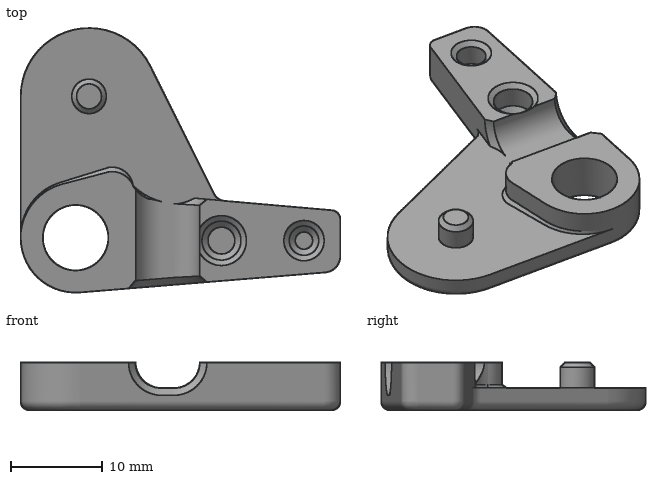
import cadquery as cq
import math

total_length = 35.1
plate_height = 2.45
total_height = 5.25
bottom_fillet = 1.0

boss_radius = 6.05
pivot_hole_radius = 3.58
lobe_radius = 7.5
lobe_x = lobe_radius - boss_radius
lobe_y = 15.5
lobe_edge_angle = 26.5

arm_end_x = total_length - boss_radius
arm_end_top = 2.95
arm_end_bottom = -3.7
arm_top_slope = -0.087
arm_top_corner = 1.05
arm_bottom_corner = 1.83
lobe_arm_fillet = 1.4

shoulder_line_start = (-1.55, 5.85)
shoulder_line_end = (3.65, 7.23)
shoulder_tip = (5.37, 6.85)
shoulder_inflection = (6.32, 5.7)
shoulder_hollow = (7.48, 4.53)
shoulder_foot = (9.4, 3.95)
flare_height = 0.35
flare_width = 0.5

channel_x = 10.1
channel_flat = 1.4
channel_radius = total_height - plate_height
channel_chamfer = 0.8

pin_radius = 1.9
pin_chamfer = 0.53
hole_y = -0.3
hole_floor = 1.75
floor_bevel = 0.65
countersink_width = 0.6
countersink_depth = 0.45
big_hole_x = 16.0
big_hole_radius = 2.15
small_hole_x = 25.05
small_hole_radius = 1.6


def on_circle(radius, degrees, center_x=0.0, center_y=0.0):
    angle = math.radians(degrees)
    return (center_x + radius * math.cos(angle), center_y + radius * math.sin(angle))


def arm_top_y(x):
    return arm_end_top + arm_top_slope * (x - arm_end_x)


end_distance = math.hypot(arm_end_x, arm_end_bottom)
tangent_angle = math.degrees(
    math.atan2(arm_end_bottom, arm_end_x) - math.acos(boss_radius / end_distance)
)
boss_tangent = on_circle(boss_radius, tangent_angle)
boss_lower_left = on_circle(boss_radius, 225)
arm_bottom_slope = (arm_end_bottom - boss_tangent[1]) / (arm_end_x - boss_tangent[0])


def arm_bottom_y(x):
    return arm_end_bottom + arm_bottom_slope * (x - arm_end_x)


def corner_edges(body, x, y):
    """Select the upright edge at a plan position."""
    reach = 0.05
    box = cq.selectors.BoxSelector(
        (x - reach, y - reach, -reach), (x + reach, y + reach, total_height + reach)
    )
    return body.edges("|Z").edges(box)


def round_arm_end(body):
    body = corner_edges(body, arm_end_x, arm_end_top).fillet(arm_top_corner)
    return corner_edges(body, arm_end_x, arm_end_bottom).fillet(arm_bottom_corner)


def make_plate():
    lobe_tangent = on_circle(lobe_radius, lobe_edge_angle, lobe_x, lobe_y)
    edge_slope = -1 / math.tan(math.radians(lobe_edge_angle))
    crotch_x = (
        arm_end_top - arm_top_slope * arm_end_x - lobe_tangent[1] + edge_slope * lobe_tangent[0]
    ) / (edge_slope - arm_top_slope)
    crotch_y = arm_top_y(crotch_x)
    plate = (
        cq.Workplane("XY")
        .moveTo(-boss_radius, 0)
        .threePointArc(boss_lower_left, boss_tangent)
        .lineTo(arm_end_x, arm_end_bottom)
        .lineTo(arm_end_x, arm_end_top)
        .lineTo(crotch_x, crotch_y)
        .lineTo(*lobe_tangent)
        .threePointArc((lobe_x, lobe_y + lobe_radius), (-boss_radius, lobe_y))
        .close()
        .extrude(plate_height)
    )
    plate = round_arm_end(plate)
    plate = corner_edges(plate, crotch_x, crotch_y).fillet(lobe_arm_fillet)
    return plate.faces("<Z").edges().fillet(bottom_fillet)


def upper_outline(sketch, flare=0.0):
    """Raised outline; flare pushes the shoulder outwards, most at its tip."""
    boss_side = on_circle(boss_radius + flare / 4, 145)
    line_start = (shoulder_line_start[0], shoulder_line_start[1] + flare / 2)
    line_end = (shoulder_line_end[0], shoulder_line_end[1] + flare)
    tip = (shoulder_tip[0] + flare / 2, shoulder_tip[1] + flare / 2)
    hollow = (shoulder_hollow[0] + flare / 3, shoulder_hollow[1] + flare / 3)
    return (
        sketch.moveTo(-boss_radius, 0)
        .threePointArc(boss_lower_left, boss_tangent)
        .lineTo(arm_end_x, arm_end_bottom)
        .lineTo(arm_end_x, arm_end_top)
        .lineTo(channel_x, arm_top_y(channel_x))
        .lineTo(*shoulder_foot)
        .threePointArc(hollow, shoulder_inflection)
        .threePointArc(tip, line_end)
        .lineTo(*line_start)
        .threePointArc(boss_side, (-boss_radius, 0))
        .close()
    )


def channel_outline(sketch, offset=0.0):
    """Channel section in a local frame with its origin at the top of the part."""
    radius = channel_radius + offset
    half_flat = channel_flat / 2
    diagonal = radius * math.sqrt(0.5)
    return (
        sketch.moveTo(-half_flat - radius, 0)
        .threePointArc((-half_flat - diagonal, -diagonal), (-half_flat, -radius))
        .lineTo(half_flat, -radius)
        .threePointArc((half_flat + diagonal, -diagonal), (half_flat + radius, 0))
        .close()
    )


def channel_chamfer_cutter(edge_y, slope, outward):
    """Flared channel mouth on one sloping arm side; outward is the sign of Y there."""
    wall = cq.Workplane(
        cq.Plane((channel_x, edge_y, total_height), (1, slope, 0), (slope, -1, 0))
    )
    inward = outward * channel_chamfer
    wide = channel_outline(wall, channel_chamfer)
    return channel_outline(wide.workplane(offset=inward)).loft(ruled=True)


def make_upper():
    base = cq.Workplane("XY").workplane(offset=plate_height)
    body = round_arm_end(upper_outline(base).extrude(total_height - plate_height))
    flared = upper_outline(base, flare_width).workplane(offset=flare_height)
    flare = upper_outline(flared).loft(ruled=True)
    arm_side = cq.Workplane("XY").box(
        total_length, total_length, total_height, centered=(False, True, False)
    ).translate((channel_x, 0, 0))
    body = body.union(flare.cut(arm_side))
    mouth = channel_chamfer_cutter(arm_top_y(channel_x), arm_top_slope, 1)
    return body.cut(mouth.intersect(arm_side))


def make_channel():
    center = cq.Workplane("XZ", origin=(channel_x, 0, total_height))
    channel = channel_outline(center).extrude(2 * boss_radius, both=True)
    return channel.union(channel_chamfer_cutter(arm_bottom_y(channel_x), arm_bottom_slope, -1))


def make_pin():
    plate_top = cq.Workplane("XY", origin=(lobe_x, lobe_y, plate_height))
    pin = plate_top.circle(pin_radius).extrude(total_height - plate_height)
    return pin.faces(">Z").edges().chamfer(pin_chamfer)


def make_blind_hole(x, radius):
    """Countersunk hole whose floor has a bevelled rim."""
    return (
        cq.Workplane("XZ")
        .moveTo(0, hole_floor)
        .lineTo(radius - floor_bevel, hole_floor)
        .lineTo(radius, hole_floor + floor_bevel)
        .lineTo(radius, total_height - countersink_depth)
        .lineTo(radius + countersink_width, total_height)
        .lineTo(0, total_height)
        .close()
        .revolve(360, (0, 0), (0, 1))
        .translate((x, hole_y, 0))
    )


result = make_plate().union(make_upper()).cut(make_channel()).union(make_pin())
result = result.cut(cq.Workplane("XY").circle(pivot_hole_radius).extrude(total_height))
for hole_x, hole_radius in ((big_hole_x, big_hole_radius), (small_hole_x, small_hole_radius)):
    result = result.cut(make_blind_hole(hole_x, hole_radius))